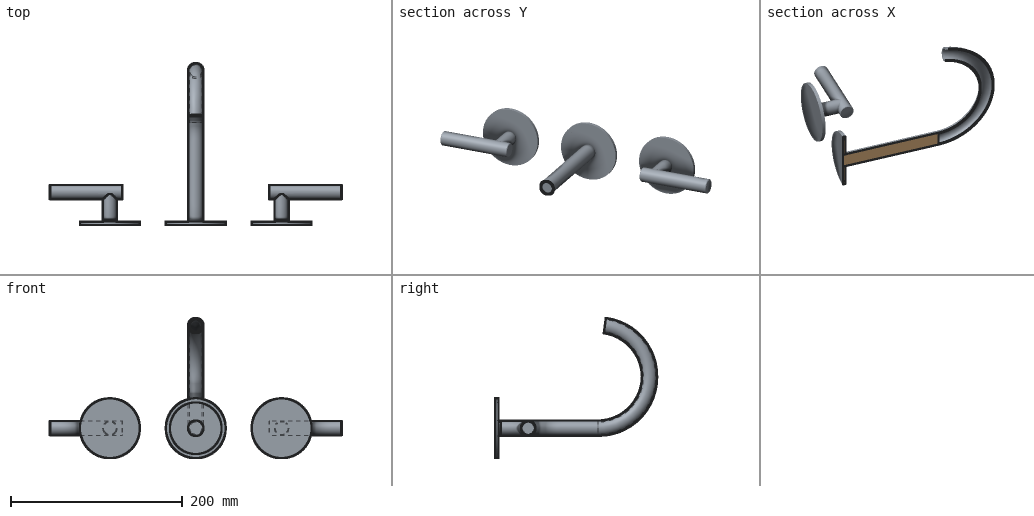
import cadquery as cq


plate_diameter = 70.0
plate_thickness = 4.0

insert_diameter = 60.2

spout_diameter = 18.0
bore_diameter = 14.3
spout_straight_length = 119.7
bend_axis_diameter = 120.0
bend_angle = 172.5

overall_width = 340
handle_offset = 100.0
neck_diameter = 15.0
neck_length = 2.7
post_diameter = 16.5
bar_diameter = 17.0
bar_length = 85.0
bar_chamfer = 0.7
bar_axis_height = 38.5

bend_radius = bend_axis_diameter / 2
bar_inner_offset = overall_width / 2 - bar_length
post_base_height = plate_thickness + neck_length


def wall_rod(diameter, length, x=0, base_height=0):
    """Round rod along +Y, starting base_height from the wall."""
    start = cq.Vector(x, base_height, 0)
    return cq.Workplane(cq.Solid.makeCylinder(diameter / 2, length, start, cq.Vector(0, 1, 0)))


def bend(diameter):
    """Round rod following the spout bend, from the straight stretch up and back to the wall."""
    return (
        cq.Workplane("XZ", origin=(0, spout_straight_length, 0))
        .circle(diameter / 2)
        .revolve(bend_angle, (-3.5, bend_radius), (3.5, bend_radius))
    )


def make_spout():
    """Solid straight stretch through the plate, then a hollow bend open at its outlet."""
    straight = wall_rod(spout_diameter, spout_straight_length)
    return straight.union(bend(spout_diameter)).cut(bend(bore_diameter))


def make_spout_plate():
    return wall_rod(plate_diameter, plate_thickness).cut(wall_rod(insert_diameter, plate_thickness))


def make_plate_insert():
    """Disc that fills the spout plate around the spout."""
    return wall_rod(insert_diameter, plate_thickness).cut(wall_rod(spout_diameter, plate_thickness))


def make_handle_plate(side):
    return wall_rod(plate_diameter, plate_thickness, side * handle_offset)


def make_handle_neck(side):
    return wall_rod(neck_diameter, neck_length, side * handle_offset, plate_thickness)


def make_lever(side):
    """Post standing on the neck, with a crossbar that reaches outward along X."""
    post_length = bar_axis_height - post_base_height
    post = wall_rod(post_diameter, post_length, side * handle_offset, post_base_height)
    bar = (
        cq.Workplane("YZ", origin=(side * bar_inner_offset, bar_axis_height, 0))
        .circle(bar_diameter / 2)
        .extrude(side * bar_length)
        .edges()
        .chamfer(bar_chamfer)
    )
    return post.union(bar)


bodies = [make_spout().val(), make_spout_plate().val(), make_plate_insert().val()]
for side in (-1, 1):
    bodies.append(make_handle_plate(side).val())
    bodies.append(make_handle_neck(side).val())
    bodies.append(make_lever(side).val())

result = cq.Compound.makeCompound(bodies)